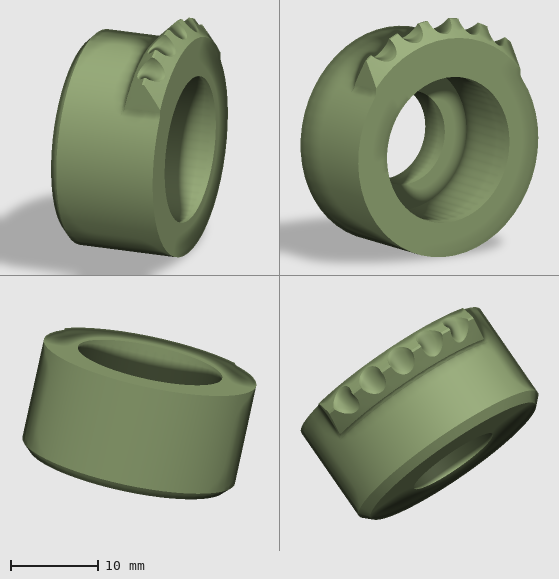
import cadquery as cq
import math

body_length = 12.8
body_radius = 12.5
bore_radius = 5.5
bore_length = 4.0
counterbore_radius = 8.5
front_chamfer = 1.0

tip_radius = 15.0
tip_width = 0.28
tip_center_x = 10.7
wall_x = 8.45
ridge_half_width = 10.0
side_fillet = 1.5

notch_radius = 1.5
notch_count = 5
notch_pitch_angle = 16.25

tip_start_x = tip_center_x - tip_width / 2
tip_end_x = tip_center_x + tip_width / 2
flank_wall_radius = tip_radius - (tip_start_x - wall_x)
flank_end_radius = tip_radius - (body_length - tip_end_x)

wall_fillet = flank_wall_radius - body_radius


def make_body():
    """Plain ring with a chamfer around its -X end; the bore is cut last."""
    ring = cq.Workplane("YZ").circle(body_radius).extrude(body_length)
    return ring.faces("<X").chamfer(front_chamfer)


def revolved_ridge():
    """Full ring with the ridge's V-shaped section and its concave wall fillet."""
    fillet_start_x = wall_x - wall_fillet
    arc_offset = wall_fillet * math.sqrt(0.5)
    arc_middle = (fillet_start_x + arc_offset, flank_wall_radius - arc_offset)
    return (
        cq.Workplane("XY")
        .moveTo(fillet_start_x, bore_radius)
        .lineTo(fillet_start_x, body_radius)
        .threePointArc(arc_middle, (wall_x, flank_wall_radius))
        .lineTo(tip_start_x, tip_radius)
        .lineTo(tip_end_x, tip_radius)
        .lineTo(body_length, flank_end_radius)
        .lineTo(body_length, bore_radius)
        .close()
        .revolve(360, (0, 0, 0), (1, 0, 0))
    )


def ridge_outline():
    """Straight-sided block whose sides flare through fillets onto the body."""
    center_y = ridge_half_width + side_fillet
    center_distance = body_radius + side_fillet
    center_z = math.sqrt(center_distance**2 - center_y**2)
    foot_y = center_y * body_radius / center_distance
    foot_z = center_z * body_radius / center_distance
    half_angle = math.atan2(center_z, center_y) / 2
    middle_y = center_y - side_fillet * math.cos(half_angle)
    middle_z = center_z - side_fillet * math.sin(half_angle)
    return (
        cq.Workplane("YZ")
        .moveTo(0, 0)
        .lineTo(foot_y, foot_z)
        .threePointArc((middle_y, middle_z), (ridge_half_width, center_z))
        .lineTo(ridge_half_width, tip_radius)
        .lineTo(-ridge_half_width, tip_radius)
        .lineTo(-ridge_half_width, center_z)
        .threePointArc((-middle_y, middle_z), (-foot_y, foot_z))
        .close()
        .extrude(body_length)
    )


def make_notches():
    """Cylinders along X, evenly spaced around the tip circle about the top."""
    centers = []
    for index in range(notch_count):
        angle = math.radians((index - (notch_count - 1) / 2) * notch_pitch_angle)
        centers.append((tip_radius * math.sin(angle), tip_radius * math.cos(angle)))
    return cq.Workplane("YZ").pushPoints(centers).circle(notch_radius).extrude(body_length)


def make_bore():
    """Through bore, widened by a counterbore entering from the +X end."""
    bore = cq.Workplane("YZ").circle(bore_radius).extrude(body_length)
    counterbore = (
        cq.Workplane("YZ", origin=(bore_length, 0, 0))
        .circle(counterbore_radius)
        .extrude(body_length - bore_length)
    )
    return bore.union(counterbore)


ridge = revolved_ridge().intersect(ridge_outline()).cut(make_notches())
result = make_body().union(ridge).cut(make_bore())